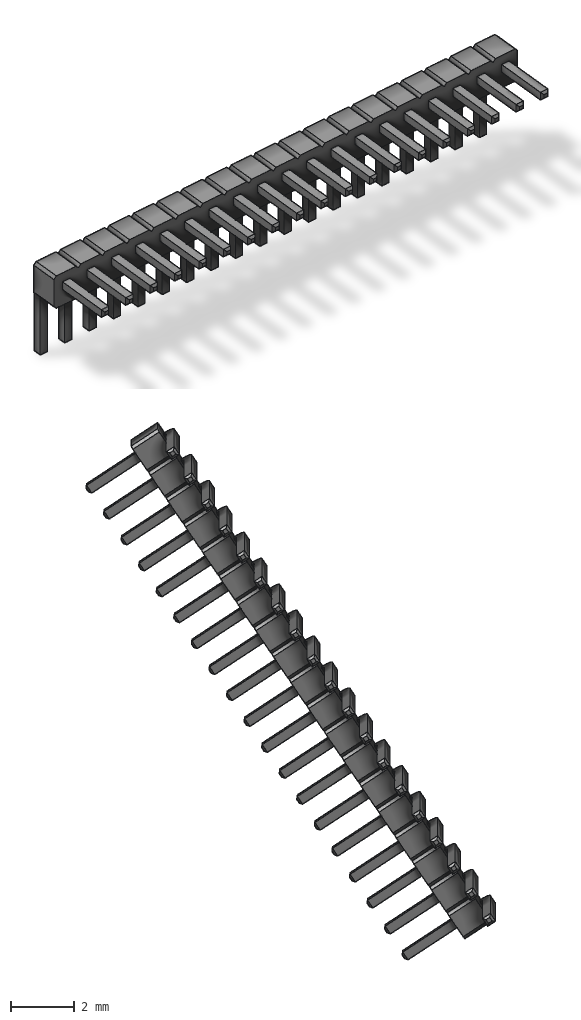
import cadquery as cq

pin_count = 19
pitch = 1.0
row_length = pin_count * pitch

total_width = 3.4
total_height = 3.94

body_width = 1.0
body_height = 1.27
body_offset = 0.4
notch_chamfer = 0.1

pin_size = 0.3
pin_top_depth = 0.35
bend_inner_radius = 0.15
tip_bevel = 0.08

pin_outer_x = -body_offset - body_width / 2
pin_tip_x = pin_outer_x + total_width
pin_foot_z = body_height - total_height
pin_axis_x = pin_outer_x + pin_size / 2
pin_axis_z = body_height - pin_top_depth - pin_size / 2
bend_axis_radius = bend_inner_radius + pin_size / 2


def cell_center_y(index):
    """Y position of a pin and its housing cell."""
    return (index + 0.5) * pitch - row_length / 2


def make_cell(center_y):
    """One housing block, bevelled along its top and bottom X-direction edges."""
    return (
        cq.Workplane("XY")
        .box(body_width, pitch, body_height, centered=(True, True, False))
        .edges("|X")
        .chamfer(notch_chamfer)
        .translate((0, center_y, 0))
    )


def make_pin(center_y):
    """One square pin: vertical leg, rounded bend, horizontal leg, tapered tips."""
    path = (
        cq.Workplane("XZ")
        .moveTo(pin_axis_x, pin_foot_z)
        .lineTo(pin_axis_x, pin_axis_z - bend_axis_radius)
        .radiusArc((pin_axis_x + bend_axis_radius, pin_axis_z), bend_axis_radius)
        .lineTo(pin_tip_x, pin_axis_z)
    )
    pin = (
        cq.Workplane("XY", origin=(pin_axis_x, 0, pin_foot_z))
        .rect(pin_size, pin_size)
        .sweep(path)
    )
    pin = pin.faces("<Z").chamfer(tip_bevel)
    pin = pin.faces(">X").chamfer(tip_bevel)
    return pin.translate((0, center_y, 0))


result = make_cell(cell_center_y(0))
for cell in range(1, pin_count):
    result = result.union(make_cell(cell_center_y(cell)))
for cell in range(pin_count):
    result = result.union(make_pin(cell_center_y(cell)))